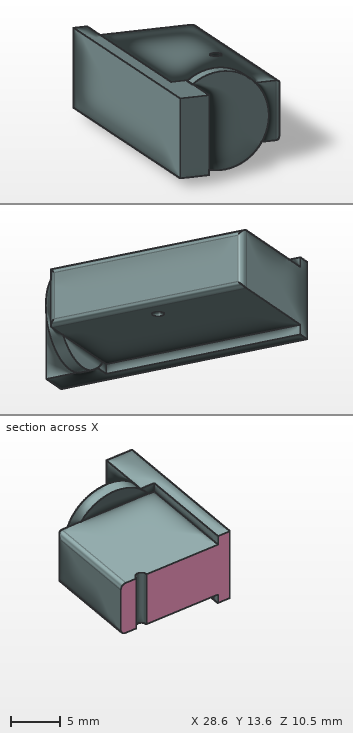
import cadquery as cq

body_length = 22.6
body_height = 6.35
total_depth = 13.64
back_edge_radius = 0.635

plate_length = 28.6
plate_height = 8.48
plate_thickness = 1.5
lug_thickness = 3.2
lug_start = 22.55

disc_diameter = 10.49
disc_start = body_length
disc_end = 24.05
disc_center_y = 6.39

hole_diameter = 1.25
hole_x = body_length / 2
hole_y = 11.05


def block(x_start, x_end, y_end, height):
    """Block from the front face (Y = 0) back to y_end, centred on Z = 0."""
    return (
        cq.Workplane("XY")
        .box(x_end - x_start, y_end, height, centered=(False, False, True))
        .translate((x_start, 0, 0))
    )


def make_body():
    """Main block with all four edges of its back face rounded."""
    return block(0, body_length, total_depth, body_height).faces(">Y").edges().fillet(back_edge_radius)


def make_front_plate():
    """Thin plate along the whole part, with the thicker lug at its +X end."""
    plate = block(0, plate_length, plate_thickness, plate_height)
    lug = block(lug_start, plate_length, lug_thickness, plate_height)
    return plate.union(lug)


def disc_slice(x_start, x_end):
    """Cylinder of the disc's diameter, with its axis along X."""
    return (
        cq.Workplane("YZ", origin=(x_start, disc_center_y, 0))
        .circle(disc_diameter / 2)
        .extrude(x_end - x_start)
    )


def make_hole():
    """Cutter for the hole running through the body along Z."""
    return (
        cq.Workplane("XY")
        .center(hole_x, hole_y)
        .circle(hole_diameter / 2)
        .extrude(body_height, both=True)
    )


plate_with_recess = make_front_plate().cut(disc_slice(lug_start, disc_start))
plate_with_disc = plate_with_recess.union(disc_slice(disc_start, disc_end))
result = plate_with_disc.union(make_body()).cut(make_hole())